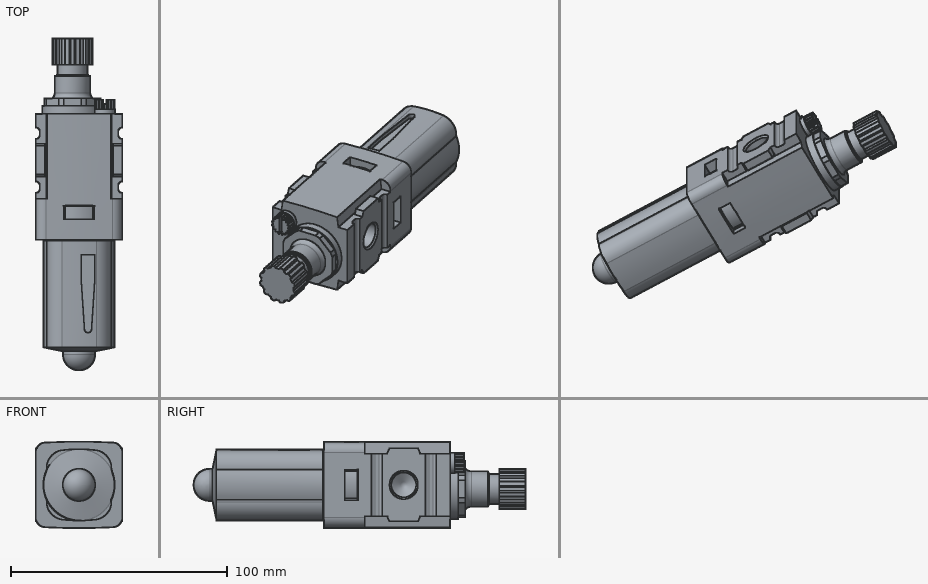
import cadquery as cq
import math

overall_length = 153.31

half_width = 20.0
half_height = 19.99
shoulder_height = 19.6
corner_radius = 4.6
top_flat_half = half_width - corner_radius
side_flat_half = shoulder_height - corner_radius
housing_top = 21.4
housing_bottom = -36.8

notch_end = -17.9
notch_ledge = 14.4
notch_wall_outer = 15.2
notch_wall_inner = 14.55
pad_inner = 15.9
pad_height = 16.85
pad_top_half = 6.6
pad_base_half = 7.7

groove_offset = 12.45
groove_mouth_half = 2.55
groove_corner_radius = 1.6
groove_depth = 1.8

port_diameter = 11.45
port_mouth_diameter = 13.16
port_mouth_depth = (port_mouth_diameter - port_diameter) / 2
port_depth = 9.0
drill_point_angle = 118.0

window_top = -21.0
window_bottom = -27.2
window_half = 7.1
window_floor_half = 6.26

knob_x = -3.0
knob_z = -1.9
flange_radius = 14.0
flange_base_height = 3.7
flange_height = 7.1
flange_upper_radius = 27.48 / 2
flange_across_flats = 26.2
flange_flat_count = 8
flare_radius = 9.5
collar_radius = 16.51 / 2
flare_height = 2.6
collar_height = 10.5
neck_radius = 13.97 / 2
neck_height = 5.0
neck_ring_radius = 14.45 / 2
neck_ring_height = 0.45
collar_chamfer = 0.25
knob_length = 12.25
knob_radius = 19.0 / 2
knob_groove_count = 12
knob_groove_radius = 8.6
knob_groove_floor_half = 0.85
knob_groove_mouth_half = 1.75
flange_end = housing_top + flange_height
collar_end = flange_end + collar_height
neck_end = collar_end + neck_height
knob_end = neck_end + knob_length

screw_x = 11.95
screw_z = 10.15
screw_base_radius = 9.55 / 2
screw_base_height = 2.1
screw_radius = 9.4 / 2
screw_height = 6.5
screw_groove_count = 16
screw_groove_radius = 4.0
screw_groove_half = 0.85
screw_slot_width = 1.4
screw_slot_depth = 1.9

bowl_radius = 33.02 / 2
spigot_radius = 32.51 / 2
spigot_chamfer = 0.254
bowl_gap = 0.5
bowl_crown_height = 16.5
bowl_shoulder_x = 8.0
bowl_shoulder_z = 16.0
bowl_corner_radius = 8.4
bowl_flat_start = 7.7
bowl_flat_end = 6.95
bowl_flat_x = math.sqrt(bowl_radius**2 - bowl_flat_end**2)
drain_radius = 14.99 / 2
drain_collar_length = 1.3
cone_height = 1.85
bowl_tip = knob_end - overall_length
drain_start = bowl_tip + drain_radius
cone_end = drain_start + drain_collar_length
bowl_bottom = cone_end + cone_height
bowl_top = window_top - 0.1

sight_x = 4.15
sight_half = 3.05
sight_tip_radius = 1.65
sight_top = -43.7
sight_taper_start = -56.5
sight_tip_y = -77.95
sight_floor_z = 14.0

overshoot = 1.0


def across_y(y_start, x=0.0, z=0.0):
    """Plane square to Y with local axes X and Z; extruding runs toward -Y."""
    return cq.Workplane("XZ", origin=(x, y_start, z))


def cylinder(x, z, radius, y_bottom, y_top):
    return across_y(y_top, x, z).circle(radius).extrude(y_top - y_bottom)


def knurl_cutter(x, z, count, outline, y_bottom, y_top):
    """Grooves of one outline, spread evenly around an axis along Y."""
    groove = across_y(y_top, x, z).polyline(outline).close().extrude(y_top - y_bottom)
    cutter = cq.Workplane("XZ")
    for index in range(count):
        turned = groove.rotate((x, 0, z), (x, 1, z), index * 360.0 / count)
        cutter = cutter.add(turned.val())
    return cutter.combine()


def on_four_corners(shape):
    across = shape.union(shape.mirror("YZ"))
    return across.union(across.mirror("XY"))



def housing_block():
    diagonal = corner_radius * math.sqrt(0.5)
    mid_x = top_flat_half + diagonal
    mid_z = side_flat_half + diagonal
    return (
        across_y(housing_top)
        .moveTo(-top_flat_half, shoulder_height)
        .threePointArc((0, half_height), (top_flat_half, shoulder_height))
        .threePointArc((mid_x, mid_z), (half_width, side_flat_half))
        .lineTo(half_width, -side_flat_half)
        .threePointArc((mid_x, -mid_z), (top_flat_half, -shoulder_height))
        .threePointArc((0, -half_height), (-top_flat_half, -shoulder_height))
        .threePointArc((-mid_x, -mid_z), (-half_width, -side_flat_half))
        .lineTo(-half_width, side_flat_half)
        .threePointArc((-mid_x, mid_z), (-top_flat_half, shoulder_height))
        .close()
        .extrude(housing_top - housing_bottom)
    )


def corner_notches():
    outside_x = half_width + overshoot
    wall_slope = (notch_wall_outer - notch_wall_inner) / (shoulder_height - notch_ledge)
    outside_z = half_height + overshoot
    wall_top_x = notch_wall_outer - wall_slope * (outside_z - notch_ledge)
    notch = (
        across_y(housing_top)
        .polyline([
            (notch_wall_outer, notch_ledge),
            (outside_x, notch_ledge),
            (outside_x, outside_z),
            (wall_top_x, outside_z),
        ])
        .close()
        .extrude(housing_top - notch_end)
    )
    return on_four_corners(notch)


def port_pads():
    pad = (
        cq.Workplane("YZ", origin=(pad_inner, 0, 0))
        .polyline([
            (-pad_base_half, notch_ledge - overshoot),
            (-pad_base_half, notch_ledge),
            (-pad_top_half, pad_height),
            (pad_top_half, pad_height),
            (pad_base_half, notch_ledge),
            (pad_base_half, notch_ledge - overshoot),
        ])
        .close()
        .extrude(half_width - pad_inner)
    )
    return on_four_corners(pad)


def clamp_grooves():
    """Flat-floored grooves along Z with round inner corners."""
    floor_half = groove_mouth_half - groove_corner_radius
    arc_shift = groove_corner_radius * math.sqrt(0.5)
    arc_half = floor_half + arc_shift
    cutter = cq.Workplane("XY")
    for side in (-1, 1):
        face_x = side * half_width
        corner_x = side * (half_width - groove_depth + groove_corner_radius)
        arc_x = corner_x - side * arc_shift
        floor_x = side * (half_width - groove_depth)
        for y in (-groove_offset, groove_offset):
            groove = (
                cq.Workplane("XY")
                .moveTo(face_x, y - groove_mouth_half)
                .lineTo(corner_x, y - groove_mouth_half)
                .threePointArc((arc_x, y - arc_half), (floor_x, y - floor_half))
                .lineTo(floor_x, y + floor_half)
                .threePointArc((arc_x, y + arc_half), (corner_x, y + groove_mouth_half))
                .lineTo(face_x, y + groove_mouth_half)
                .close()
                .extrude(half_height, both=True)
            )
            cutter = cutter.add(groove.val())
    return cutter.combine()


def ports():
    """Chamfered drillings with conical ends, one from each X side."""
    bore_radius = port_diameter / 2
    bore_end = half_width - port_depth
    point_length = bore_radius / math.tan(math.radians(drill_point_angle / 2))
    port = (
        cq.Workplane("XY")
        .moveTo(half_width, 0)
        .lineTo(half_width, port_mouth_diameter / 2)
        .lineTo(half_width - port_mouth_depth, bore_radius)
        .lineTo(bore_end, bore_radius)
        .lineTo(bore_end - point_length, 0)
        .close()
        .revolve(360, (0, 0, 0), (1, 0, 0))
    )
    return port.union(port.mirror("YZ"))


def bowl_socket():
    return cylinder(0, 0, spigot_radius, housing_bottom, window_top)


def locking_windows():
    """Pockets around the sides; the bowl spigot shows through each pocket floor."""
    outer_z = half_width + overshoot
    floor_z = math.sqrt(spigot_radius**2 - window_floor_half**2)
    window = (
        across_y(window_top, 0, (outer_z + floor_z) / 2)
        .rect(2 * window_half, outer_z - floor_z)
        .extrude(window_top - window_bottom)
    )
    cutter = cq.Workplane("XZ")
    for index in range(4):
        cutter = cutter.add(window.rotate((0, 0, 0), (0, 1, 0), 90.0 * index).val())
    return cutter.combine()


def flange():
    base = cylinder(knob_x, knob_z, flange_radius, housing_top, housing_top + flange_base_height)
    upper = cylinder(knob_x, knob_z, flange_upper_radius, housing_top + flange_base_height, flange_end)
    half_step = 180.0 / flange_flat_count
    octagon_diameter = flange_across_flats / math.cos(math.radians(half_step))
    octagon = (
        across_y(flange_end, knob_x, knob_z)
        .polygon(flange_flat_count, octagon_diameter)
        .extrude(flange_height)
        .rotate((knob_x, 0, knob_z), (knob_x, 1, knob_z), half_step)
    )
    return base.union(upper.intersect(octagon))


def collar_and_neck():
    """Turned stem: concave flare, chamfered collar, and neck with a low ring."""
    rise = flare_radius - collar_radius
    arc_radius = (flare_height**2 + rise**2) / (2 * rise)
    half_angle = math.asin(flare_height / arc_radius) / 2
    flare_top = flange_end + flare_height
    arc_middle = (
        collar_radius + arc_radius * (1 - math.cos(half_angle)),
        flare_top - arc_radius * math.sin(half_angle),
    )
    return (
        cq.Workplane("XY")
        .moveTo(0, flange_end)
        .lineTo(flare_radius, flange_end)
        .threePointArc(arc_middle, (collar_radius, flare_top))
        .lineTo(collar_radius, collar_end - collar_chamfer)
        .lineTo(collar_radius - collar_chamfer, collar_end)
        .lineTo(neck_ring_radius, collar_end)
        .lineTo(neck_ring_radius, collar_end + neck_ring_height)
        .lineTo(neck_radius, collar_end + neck_ring_height)
        .lineTo(neck_radius, neck_end)
        .lineTo(0, neck_end)
        .close()
        .revolve(360, (0, 0, 0), (0, 1, 0))
        .translate((knob_x, 0, knob_z))
    )


def knob():
    outline = [
        (-knob_groove_floor_half, knob_groove_radius),
        (knob_groove_floor_half, knob_groove_radius),
        (knob_groove_mouth_half, knob_radius),
        (-knob_groove_mouth_half, knob_radius),
    ]
    blank = cylinder(knob_x, knob_z, knob_radius, neck_end, knob_end)
    return blank.cut(knurl_cutter(knob_x, knob_z, knob_groove_count, outline, neck_end, knob_end))


def filler_screw():
    base_end = housing_top + screw_base_height
    screw_end = housing_top + screw_height
    outline = [
        (0, screw_groove_radius),
        (screw_groove_half, screw_radius),
        (-screw_groove_half, screw_radius),
    ]
    slot = (
        across_y(screw_end, screw_x, screw_z)
        .rect(screw_slot_width, 2 * screw_radius)
        .extrude(screw_slot_depth)
    )
    head = cylinder(screw_x, screw_z, screw_radius, base_end, screw_end)
    grooves = knurl_cutter(screw_x, screw_z, screw_groove_count, outline, base_end, screw_end)
    base = cylinder(screw_x, screw_z, screw_base_radius, housing_top, base_end)
    return base.union(head.cut(grooves).cut(slot))


def build_housing():
    block = housing_block().cut(corner_notches()).union(port_pads())
    block = block.cut(clamp_grooves()).cut(ports())
    block = block.cut(bowl_socket()).cut(locking_windows())
    stem = flange().union(collar_and_neck()).union(knob())
    return block.union(stem).union(filler_screw())



def corner_arc_middle():
    """Middle point of the arc from a crown end to a side flat, first quadrant."""
    chord_x = bowl_flat_x - bowl_shoulder_x
    chord_z = bowl_flat_start - bowl_shoulder_z
    chord = math.hypot(chord_x, chord_z)
    sagitta = bowl_corner_radius - math.sqrt(bowl_corner_radius**2 - chord**2 / 4)
    return (
        (bowl_shoulder_x + bowl_flat_x) / 2 - sagitta * chord_z / chord,
        (bowl_shoulder_z + bowl_flat_start) / 2 + sagitta * chord_x / chord,
    )


def bowl_barrel():
    """Barrel with crowned top and bottom, round corners and cylindrical sides."""
    mid_x, mid_z = corner_arc_middle()
    return (
        across_y(housing_bottom - bowl_gap)
        .moveTo(-bowl_shoulder_x, bowl_shoulder_z)
        .threePointArc((0, bowl_crown_height), (bowl_shoulder_x, bowl_shoulder_z))
        .threePointArc((mid_x, mid_z), (bowl_flat_x, bowl_flat_start))
        .lineTo(bowl_flat_x, bowl_flat_end)
        .threePointArc((bowl_radius, 0), (bowl_flat_x, -bowl_flat_end))
        .lineTo(bowl_flat_x, -bowl_flat_start)
        .threePointArc((mid_x, -mid_z), (bowl_shoulder_x, -bowl_shoulder_z))
        .threePointArc((0, -bowl_crown_height), (-bowl_shoulder_x, -bowl_shoulder_z))
        .threePointArc((-mid_x, -mid_z), (-bowl_flat_x, -bowl_flat_start))
        .lineTo(-bowl_flat_x, -bowl_flat_end)
        .threePointArc((-bowl_radius, 0), (-bowl_flat_x, bowl_flat_end))
        .lineTo(-bowl_flat_x, bowl_flat_start)
        .threePointArc((-mid_x, mid_z), (-bowl_shoulder_x, bowl_shoulder_z))
        .close()
        .extrude(housing_bottom - bowl_gap - bowl_bottom)
    )


def bowl_spigot():
    spigot = cylinder(0, 0, spigot_radius, housing_bottom - bowl_gap, bowl_top)
    return spigot.faces(">Y").chamfer(spigot_chamfer)


def bowl_end():
    """Shallow cone carrying the domed drain."""
    dome_middle = drain_radius * math.sqrt(0.5)
    return (
        cq.Workplane("XY")
        .moveTo(0, bowl_bottom)
        .lineTo(bowl_crown_height, bowl_bottom)
        .lineTo(drain_radius, cone_end)
        .lineTo(drain_radius, drain_start)
        .threePointArc((dome_middle, drain_start - dome_middle), (0, bowl_tip))
        .close()
        .revolve(360, (0, 0, 0), (0, 1, 0))
    )


def sight_slot():
    return (
        cq.Workplane("XY", origin=(sight_x, 0, sight_floor_z))
        .moveTo(-sight_half, sight_top)
        .lineTo(sight_half, sight_top)
        .lineTo(sight_half, sight_taper_start)
        .lineTo(sight_tip_radius, sight_tip_y)
        .threePointArc((0, sight_tip_y - sight_tip_radius), (-sight_tip_radius, sight_tip_y))
        .lineTo(-sight_half, sight_taper_start)
        .close()
        .extrude(bowl_radius - sight_floor_z)
    )


def build_bowl():
    return bowl_barrel().union(bowl_spigot()).union(bowl_end()).cut(sight_slot())


housing = build_housing()
bowl = build_bowl()

result = cq.Compound.makeCompound([housing.val(), bowl.val()])